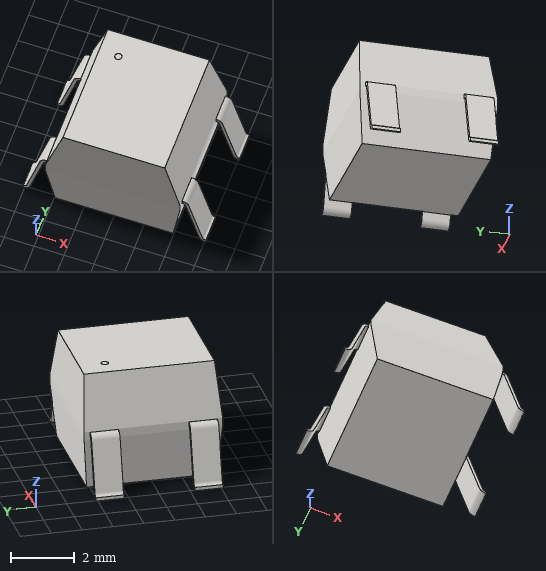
import cadquery as cq
import math

overall_length = 6.1
height = 3.81

waist_size = 4.5
waist_height = 0.28
top_length, top_width = 3.4, 4.24
bottom_length, bottom_width = 3.94, 4.2
waist_bottom_z = (height - waist_height) / 2
waist_top_z = waist_bottom_z + waist_height

marker_diameter = 0.225
marker_depth = 0.1
marker_x, marker_y = -1.05, 1.28

lead_thickness = 0.12
lead_width = 0.92
lead_pitch = 3.21
lead_top_gap = 0.01
bend_inner_radius = 0.12
bend_outer_radius = bend_inner_radius + lead_thickness
lead_reach = (overall_length - waist_size) / 2


def tapered_half(end_length, end_width, waist_z, end_z):
    """Frustum from the square waist to a smaller rectangular end face."""
    return (
        cq.Workplane("XY", origin=(0, 0, waist_z))
        .rect(waist_size, waist_size)
        .workplane(offset=end_z - waist_z)
        .rect(end_length, end_width)
        .loft(ruled=True)
    )


def make_marker():
    return (
        cq.Workplane("XY", origin=(marker_x, marker_y, height - marker_depth))
        .circle(marker_diameter / 2)
        .extrude(marker_depth)
    )


def make_housing():
    waist = (
        cq.Workplane("XY", origin=(0, 0, waist_bottom_z))
        .rect(waist_size, waist_size)
        .extrude(waist_height)
    )
    upper = tapered_half(top_length, top_width, waist_top_z, height)
    lower = tapered_half(bottom_length, bottom_width, waist_bottom_z, 0)
    return waist.union(upper).union(lower).cut(make_marker())


def make_lead(side, y_center):
    """S-shaped lead; side is +1 or -1 for the end of the housing it stands on."""
    shoulder_x = waist_size / 2
    shoulder_z = waist_top_z - lead_top_gap - bend_outer_radius
    foot_x = shoulder_x + lead_reach
    foot_z = bend_outer_radius

    drop = shoulder_z - foot_z
    center_distance = math.hypot(lead_reach, drop)
    center_line_angle = math.atan2(lead_reach, drop)
    crossing_angle = math.asin((bend_inner_radius + bend_outer_radius) / center_distance)
    leg_angle = center_line_angle - crossing_angle
    bend_middle_angle = (leg_angle + math.pi / 2) / 2

    def shoulder_point(radius, angle):
        return (side * (shoulder_x + radius * math.cos(angle)), shoulder_z + radius * math.sin(angle))

    def foot_point(radius, angle):
        return (side * (foot_x - radius * math.cos(angle)), foot_z - radius * math.sin(angle))

    def shoulder_bend(radius):
        angles = (math.pi / 2, bend_middle_angle, leg_angle)
        return [shoulder_point(radius, angle) for angle in angles]

    def foot_bend(radius):
        angles = (leg_angle, bend_middle_angle, math.pi / 2)
        return [foot_point(radius, angle) for angle in angles]

    outer_start, outer_middle, outer_end = shoulder_bend(bend_outer_radius)
    inner_start, inner_middle, inner_end = shoulder_bend(bend_inner_radius)
    heel_inner_start, heel_inner_middle, heel_inner_end = foot_bend(bend_inner_radius)
    heel_outer_start, heel_outer_middle, heel_outer_end = foot_bend(bend_outer_radius)

    return (
        cq.Workplane("XZ", origin=(0, y_center + lead_width / 2, 0))
        .moveTo(*outer_start)
        .threePointArc(outer_middle, outer_end)
        .lineTo(*heel_inner_start)
        .threePointArc(heel_inner_middle, heel_inner_end)
        .lineTo(*heel_outer_end)
        .threePointArc(heel_outer_middle, heel_outer_start)
        .lineTo(*inner_end)
        .threePointArc(inner_middle, inner_start)
        .close()
        .extrude(lead_width)
    )


housing = make_housing()
marker = make_marker()
leads = [
    make_lead(side, row * lead_pitch / 2)
    for side in (-1, 1)
    for row in (-1, 1)
]

result = cq.Compound.makeCompound([housing.val(), marker.val(), *[lead.val() for lead in leads]])